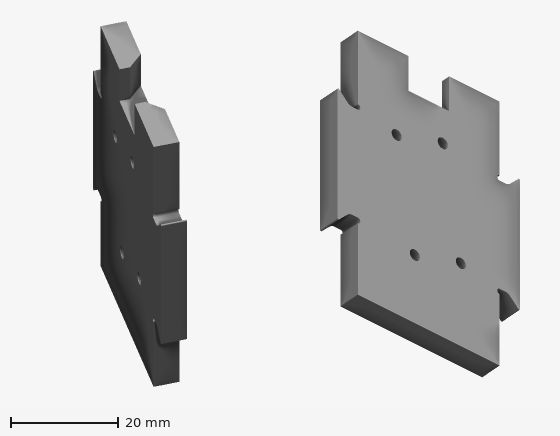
import cadquery as cq

height = 60.5
thickness = 5.0
body_width = 35.0

overall_width = 45.0
wing_height = 30.0
center_z = -0.25
recess_depth = 2.6
tip_width = 0.3
tip_fillet = 0.2
floor_fillet = 1.7
relief_radius = 0.6

notch_width = 10.05
notch_depth = 8.0
notch_flare = 2.95

hole_diameter = 2.5
hole_offsets = [(3.45, 14.4), (-7.9, 11.0)]

back_y = thickness / 2
front_y = -back_y


def make_body():
    return cq.Workplane("XY").box(body_width, thickness, height)


def make_wings():
    """Both wings as one slab across the body, with flanks sloping to the recess floors."""
    tip_x = overall_width / 2
    tip_z = wing_height / 2
    floor_z = tip_z - recess_depth
    flank_top_x = tip_x - tip_width
    flank_foot_x = flank_top_x - recess_depth
    quarter = [(flank_foot_x, floor_z), (flank_top_x, tip_z), (tip_x, tip_z)]
    right_side = quarter + [(x, -z) for x, z in reversed(quarter)]
    left_side = [(-x, -z) for x, z in right_side]
    slab = (
        cq.Workplane("XZ", origin=(0, 0, center_z))
        .polyline(right_side + left_side)
        .close()
        .extrude(thickness / 2, both=True)
    )
    reach_x = flank_foot_x + tip_width
    reach_z = floor_z + tip_width
    corner_span = cq.selectors.BoxSelector(
        (-reach_x, front_y, center_z - reach_z),
        (reach_x, back_y, center_z + reach_z),
    )
    slab = slab.edges("|Y").edges(corner_span).fillet(floor_fillet)
    return slab.edges("|Y and (<X or >X)").fillet(tip_fillet)


def make_reliefs():
    """Round undercuts on the body walls, tangent to the recess floors."""
    wall_x = body_width / 2
    relief_z = wing_height / 2 - recess_depth + relief_radius
    return (
        cq.Workplane("XZ", origin=(0, 0, center_z))
        .rect(2 * wall_x, 2 * relief_z, forConstruction=True)
        .vertices()
        .circle(relief_radius)
        .extrude(thickness / 2, both=True)
    )


def make_notch():
    half_width = notch_width / 2
    flare_start_y = back_y - notch_flare
    right_side = [
        (half_width, front_y),
        (half_width, flare_start_y),
        (half_width + notch_flare, back_y),
    ]
    left_side = [(-x, y) for x, y in reversed(right_side)]
    return (
        cq.Workplane("XY", origin=(0, 0, height / 2 - notch_depth))
        .polyline(right_side + left_side)
        .close()
        .extrude(notch_depth)
    )


def make_holes():
    opposite_offsets = [(-x, -z) for x, z in hole_offsets]
    return (
        cq.Workplane("XZ", origin=(0, 0, center_z))
        .pushPoints(hole_offsets + opposite_offsets)
        .circle(hole_diameter / 2)
        .extrude(thickness / 2, both=True)
    )


result = make_body().union(make_wings())
for cutter in (make_reliefs(), make_notch(), make_holes()):
    result = result.cut(cutter)